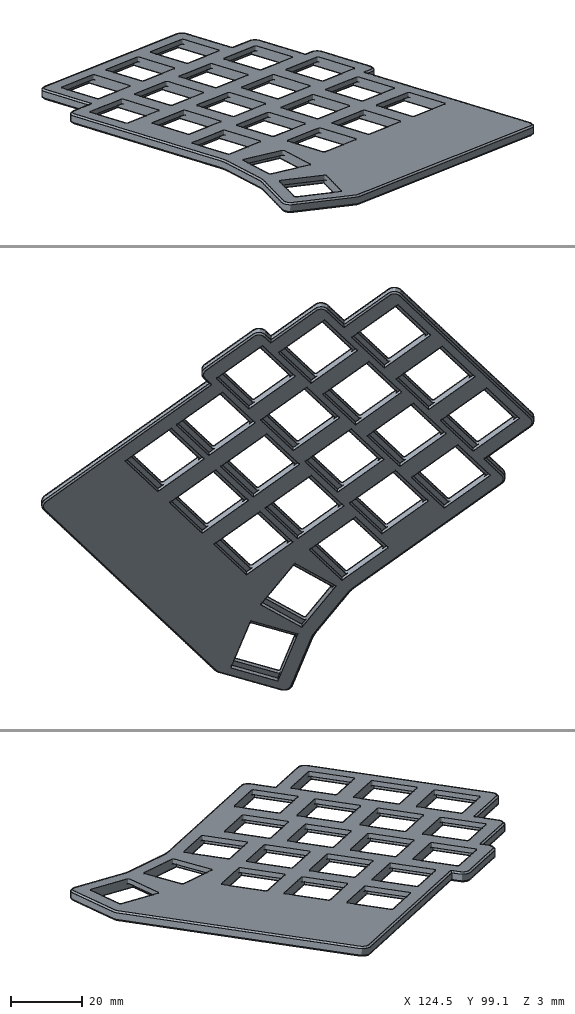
import cadquery as cq
import math

length = 124.5
thickness = 3.0
edge_chamfer = 0.5
corner_radius = 2.5
bend_radius = 10.0

key_size = 14.0
key_corner_radius = 0.5
key_lip = 1.5
clip_recess = 1.6
border = 4.5
reach = key_size / 2 + border

column_count = 5
column_span = 76.0
pitch = column_span / (column_count - 1)
first_row_y = 25.8
column_lift = [pitch / 2, 0, pitch / 4, 0, pitch]
column_keys = [3, 4, 4, 4, 3]

inner_thumb = (89.6, 22.9, -15)
outer_thumb = (109.4, 14.7, -30)


def column_x(column):
    return reach + column * pitch


def column_low_y(column):
    return first_row_y + column_lift[column]


def column_top(column):
    return column_low_y(column) + (column_keys[column] - 1) * pitch + reach


def column_bottom(column):
    return column_low_y(column) - reach


def thumb_point(thumb, across, along):
    """Point given in the rotated frame of a thumb key, measured from its centre."""
    x, y, degrees = thumb
    angle = math.radians(degrees)
    return (
        x + across * math.cos(angle) - along * math.sin(angle),
        y + across * math.sin(angle) + along * math.cos(angle),
    )


def intersection(point_a, degrees_a, point_b, degrees_b):
    """Crossing point of two lines, each given by a point and a direction."""
    ax, ay = math.cos(math.radians(degrees_a)), math.sin(math.radians(degrees_a))
    bx, by = math.cos(math.radians(degrees_b)), math.sin(math.radians(degrees_b))
    dx, dy = point_b[0] - point_a[0], point_b[1] - point_a[1]
    distance = (dx * by - dy * bx) / (ax * by - ay * bx)
    return (point_a[0] + distance * ax, point_a[1] + distance * ay)


def plate():
    first_step_x = column_x(1) - reach
    raised_left_x = column_x(2) - reach
    raised_right_x = column_x(2) + reach
    field_bottom = column_bottom(1)
    field_top = column_top(1)

    inner_edge = thumb_point(inner_thumb, 0, -reach)
    outer_edge = thumb_point(outer_thumb, 0, -reach)
    outer_side = thumb_point(outer_thumb, reach, 0)
    sharp, rounded, bend = 0, corner_radius, bend_radius
    corners = [
        ((0, column_bottom(0)), rounded),
        ((first_step_x, column_bottom(0)), sharp),
        ((first_step_x, field_bottom), rounded),
        (intersection((0, field_bottom), 0, inner_edge, inner_thumb[2]), bend),
        (intersection(inner_edge, inner_thumb[2], outer_edge, outer_thumb[2]), bend),
        (thumb_point(outer_thumb, reach, -reach), rounded),
        (intersection(outer_side, outer_thumb[2] + 90, (length, 0), 90), rounded),
        ((length, field_top), rounded),
        ((raised_right_x, field_top), sharp),
        ((raised_right_x, column_top(2)), rounded),
        ((raised_left_x, column_top(2)), rounded),
        ((raised_left_x, field_top), sharp),
        ((first_step_x, field_top), rounded),
        ((first_step_x, column_top(0)), sharp),
        ((0, column_top(0)), rounded),
    ]
    outline = [point for point, radius in corners]
    body = cq.Workplane("XY").polyline(outline).close().extrude(thickness)
    for (x, y), radius in corners:
        if radius > 0:
            upright_edge = cq.selectors.NearestToPointSelector((x, y, thickness / 2))
            body = body.edges("|Z").edges(upright_edge).fillet(radius)
    return body.faces("<Z or >Z").edges().chamfer(edge_chamfer)


def key_opening(x, y, degrees):
    """Cutter for one switch: a rounded square with a wider recess under its lip."""
    square = (
        cq.Workplane("XY")
        .rect(key_size, key_size)
        .extrude(thickness)
        .edges("|Z")
        .fillet(key_corner_radius)
    )
    recess = (
        cq.Workplane("XY")
        .rect(key_size + 2 * clip_recess, key_size)
        .extrude(thickness - key_lip)
    )
    return square.union(recess).rotate((0, 0, 0), (0, 0, 1), degrees).translate((x, y, 0))


result = plate()
for column in range(column_count):
    for row in range(column_keys[column]):
        key_y = column_low_y(column) + row * pitch
        result = result.cut(key_opening(column_x(column), key_y, 0))
for thumb in (inner_thumb, outer_thumb):
    result = result.cut(key_opening(*thumb))